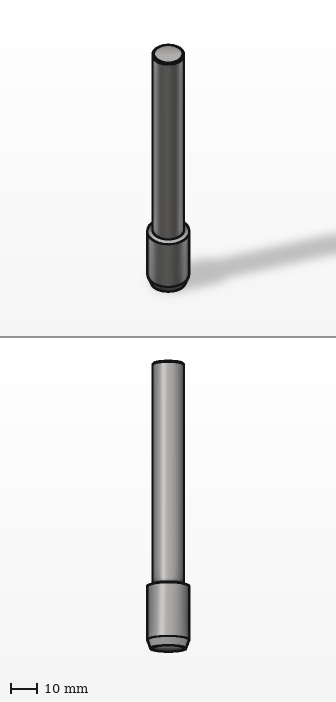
import cadquery as cq

rod_length = 110.0
rod_diameter = 12.0
rod_tip_chamfer = 0.5

sleeve_diameter = 16.0
sleeve_shoulder_height = 24.0
sleeve_crown_rise = 0.8
sleeve_lead_in_height = 3.3
sleeve_lead_in_inset = 1.2

rod_radius = rod_diameter / 2
sleeve_radius = sleeve_diameter / 2


def make_rod():
    """Plain round rod with a chamfered upper end."""
    rod = cq.Workplane("XY").circle(rod_radius).extrude(rod_length)
    return rod.faces(">Z").chamfer(rod_tip_chamfer)


def make_sleeve():
    """Revolved sleeve, bored through to fit the rod."""
    half_section = [
        (rod_radius, 0),
        (sleeve_radius - sleeve_lead_in_inset, 0),
        (sleeve_radius, sleeve_lead_in_height),
        (sleeve_radius, sleeve_shoulder_height),
        (rod_radius, sleeve_shoulder_height + sleeve_crown_rise),
    ]
    return cq.Workplane("XZ").polyline(half_section).close().revolve(360, (0, 0), (0, 1))


rod = make_rod()
sleeve = make_sleeve()

result = cq.Compound.makeCompound([rod.val(), sleeve.val()])